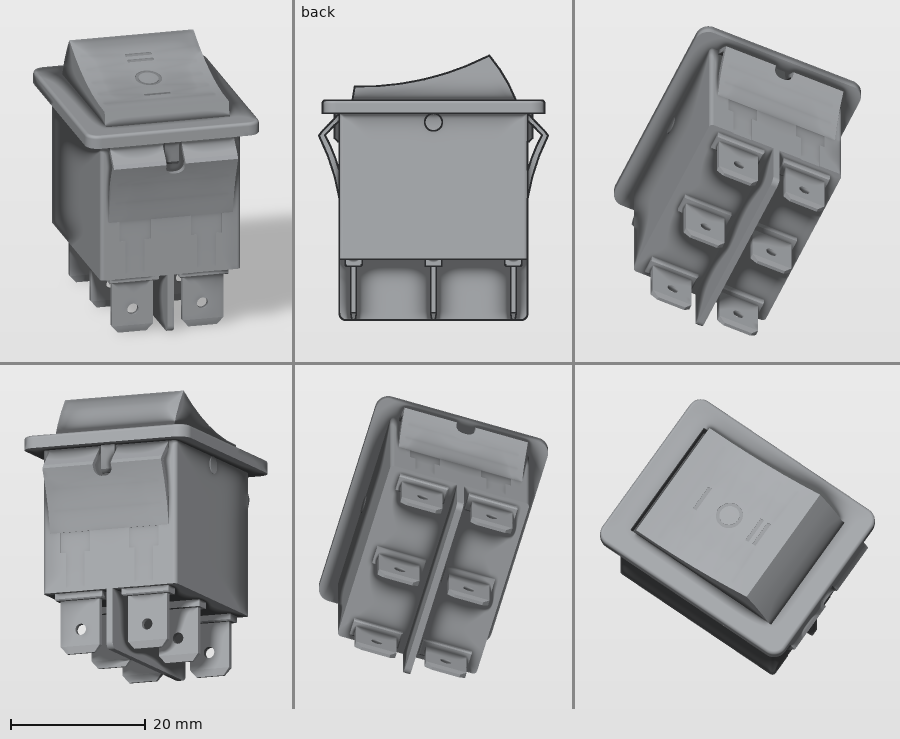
import cadquery as cq


flange_length = 32.98
flange_width = 26.6
flange_height = 1.95
flange_corner_radius = 1.95
flange_edge_radius = 0.47

body_length = 27.95
body_width = 21.5
body_height = 21.65
body_corner_radius = 0.6
side_x = body_length / 2
side_y = body_width / 2

overall_height = 39.25
top_z = 8.6
bottom_z = top_z - overall_height

rocker_width = 19.08
opening_length = 25.45
opening_floor_z = -1.18
rocker_peak_x = -8.3
rocker_left_foot_x = -12.9
rocker_left_bulge = (-10.68, 5.2)
rocker_right_foot_x = 12.55
rocker_low_end_x = 11.7
rocker_low_end_z = 4.0
rocker_top_middle = (0.0, 5.4)

mark_depth = 0.1
ring_outer_diameter = 4.0
ring_inner_diameter = 3.0
ring_x = 1.45
bar_width = 0.6
bar_length = ring_outer_diameter
bar_positions = (-4.35, -3.1, 6.35)

pad_diameter = 2.6
pad_projection = 0.15

clip_width = rocker_width
clip_reach = 3.02
clip_bottom_z = -12.65
clip_bend_top_z = -2.75
clip_bend_bottom_z = -3.3
clip_bend_setback = 0.4
clip_outer_bow = (1.35, -7.3)
clip_inner_bow = (0.85, -5.85)
clip_inner_bend = (2.12, -3.2)
clip_inner_top_z = -1.05
clip_inner_bottom_z = -8.4
clip_slot_width = 2.9
clip_slot_end_z = -5.0
clip_slot_corner_radius = 1.18

rib_width = 2.15
rib_projection = 0.7
rib_height = 4.15
rib_chamfer = 0.5

recess_depth = 0.08
recess_top_z = clip_bottom_z
recess_step_z = -15.7
recess_centre_y = 5.5
recess_wide = 4.7
recess_narrow = 3.0

lower_height = -bottom_z - body_height

terminal_row_x = 11.85
terminal_y = 5.4
terminal_width = 6.3
terminal_thickness = 0.85
terminal_tip_height = 1.1
terminal_corner = 0.95
terminal_tip_bevel = 0.2
terminal_hole_diameter = 1.7
terminal_hole_z = -27.1
collar_y = 5.35
collar_length = 2.5
collar_width = 7.55
collar_height = 1.02
collar_chamfer = 0.2

divider_thickness = 1.02
divider_corner_radius = 1.02

overlap = 0.4


def make_flange():
    flange = cq.Workplane("XY").rect(flange_length, flange_width).extrude(flange_height)
    flange = flange.edges("|Z").fillet(flange_corner_radius)
    return flange.faces(">Z").edges().fillet(flange_edge_radius)


def make_opening():
    """Cutter for the pocket that holds the rocker."""
    return (
        cq.Workplane("XY", origin=(0, 0, opening_floor_z))
        .rect(opening_length, rocker_width)
        .extrude(flange_height - opening_floor_z)
    )


def make_body():
    body = (
        cq.Workplane("XY")
        .rect(body_length, body_width)
        .extrude(-body_height)
        .edges("|Z")
        .fillet(body_corner_radius)
    )
    pads = (
        cq.Workplane("XZ", origin=(0, 0, -pad_diameter / 2))
        .circle(pad_diameter / 2)
        .extrude(side_y + pad_projection, both=True)
    )
    return body.union(pads)


def make_rocker_blank():
    """Rocker with a convex left end, a concave top and a straight right end, rooted in the floor."""
    return (
        cq.Workplane("XZ", origin=(0, rocker_width / 2, 0))
        .moveTo(rocker_left_foot_x, opening_floor_z)
        .lineTo(rocker_left_foot_x, 0)
        .threePointArc(rocker_left_bulge, (rocker_peak_x, top_z))
        .threePointArc(rocker_top_middle, (rocker_low_end_x, rocker_low_end_z))
        .lineTo(rocker_right_foot_x, opening_floor_z)
        .close()
        .extrude(rocker_width)
    )


def make_rocker():
    rocker = make_rocker_blank()
    lowered_top = rocker.translate((0, 0, -mark_depth))
    marks = (
        cq.Workplane("XY")
        .center(ring_x, 0)
        .circle(ring_outer_diameter / 2)
        .circle(ring_inner_diameter / 2)
        .extrude(top_z)
    )
    for x in bar_positions:
        marks = marks.union(cq.Workplane("XY").center(x, 0).rect(bar_width, bar_length).extrude(top_z))
    return rocker.cut(marks.cut(lowered_top))


def make_clip():
    """Bent spring strip on the +X end of the body; its profile is drawn outward from the end face."""
    clip = (
        cq.Workplane("XZ", origin=(side_x, clip_width / 2, 0))
        .moveTo(-overlap, 0)
        .lineTo(0, 0)
        .lineTo(clip_reach - clip_bend_setback, clip_bend_top_z)
        .lineTo(clip_reach, clip_bend_bottom_z)
        .threePointArc(clip_outer_bow, (0, clip_bottom_z))
        .lineTo(-overlap, clip_bottom_z)
        .lineTo(-overlap, clip_inner_bottom_z)
        .lineTo(0, clip_inner_bottom_z)
        .threePointArc(clip_inner_bow, clip_inner_bend)
        .lineTo(0, clip_inner_top_z)
        .lineTo(-overlap, clip_inner_top_z)
        .close()
        .extrude(clip_width)
    )
    slot_height = -clip_slot_end_z
    slot = (
        cq.Workplane("XY", origin=(side_x, 0, clip_slot_end_z))
        .box(2 * clip_reach, clip_slot_width, slot_height, centered=(False, True, False))
        .edges("|X and <Z")
        .fillet(clip_slot_corner_radius)
    )
    return clip.cut(slot)


def make_rib():
    """Guide rib on the +X end, with its lower outer edge bevelled."""
    return (
        cq.Workplane("XY", origin=(side_x - overlap, 0, -rib_height))
        .box(overlap + rib_projection, rib_width, rib_height, centered=(False, True, False))
        .edges(">X and <Z")
        .chamfer(rib_chamfer)
    )


def make_recess(side):
    """Stepped recess cutter in the +X end face, on the given side of the XZ plane."""
    y = side * recess_centre_y
    wide = cq.Workplane("XY", origin=(side_x, y, recess_step_z)).box(
        2 * recess_depth, recess_wide, recess_top_z - recess_step_z, centered=(True, True, False)
    )
    narrow = cq.Workplane("XY", origin=(side_x, y, -body_height)).box(
        2 * recess_depth, recess_narrow, recess_step_z + body_height, centered=(True, True, False)
    )
    return wide.union(narrow)


def make_terminal(x, side):
    """Blade with clipped corners, a bevelled tip and a cross hole."""
    blade_height = lower_height + overlap
    blade = (
        cq.Workplane("XY", origin=(x, side * terminal_y, bottom_z))
        .box(terminal_thickness, terminal_width, blade_height, centered=(True, True, False))
        .faces("<Z")
        .edges("|Y")
        .chamfer(terminal_tip_height, terminal_tip_bevel)
    )
    corner_run = terminal_width / 2 - terminal_corner
    outline = (
        cq.Workplane("YZ", origin=(x - terminal_thickness, side * terminal_y, bottom_z))
        .moveTo(-corner_run, 0)
        .lineTo(corner_run, 0)
        .lineTo(terminal_width / 2, terminal_tip_height)
        .lineTo(terminal_width / 2, blade_height)
        .lineTo(-terminal_width / 2, blade_height)
        .lineTo(-terminal_width / 2, terminal_tip_height)
        .close()
        .extrude(2 * terminal_thickness)
    )
    hole = (
        cq.Workplane("YZ", origin=(x, side * collar_y, terminal_hole_z))
        .circle(terminal_hole_diameter / 2)
        .extrude(terminal_thickness, both=True)
    )
    return blade.intersect(outline).cut(hole)


def make_collar(x, side):
    """Block around the blade root; the end collars are bevelled below, except on their outer Y edge."""
    collar = cq.Workplane("XY", origin=(x, side * collar_y, -body_height - collar_height)).box(
        collar_length, collar_width, collar_height + overlap, centered=(True, True, False)
    )
    if x != 0:
        inner_edge = "<Y" if side > 0 else ">Y"
        collar = collar.faces("<Z").edges(f"|Y or {inner_edge}").chamfer(collar_chamfer)
    return collar


def make_divider():
    divider_height = lower_height + overlap
    return (
        cq.Workplane("XY", origin=(0, 0, bottom_z))
        .box(body_length, divider_thickness, divider_height, centered=(True, True, False))
        .edges("|Y and <Z")
        .fillet(divider_corner_radius)
    )


result = make_body().union(make_flange()).cut(make_opening()).union(make_rocker())

for end_feature in (make_clip(), make_rib()):
    result = result.union(end_feature).union(end_feature.mirror("YZ"))

for side in (-1, 1):
    recess = make_recess(side)
    result = result.cut(recess).cut(recess.mirror("YZ"))

for x in (-terminal_row_x, 0, terminal_row_x):
    for side in (-1, 1):
        result = result.union(make_collar(x, side)).union(make_terminal(x, side))

result = result.union(make_divider())